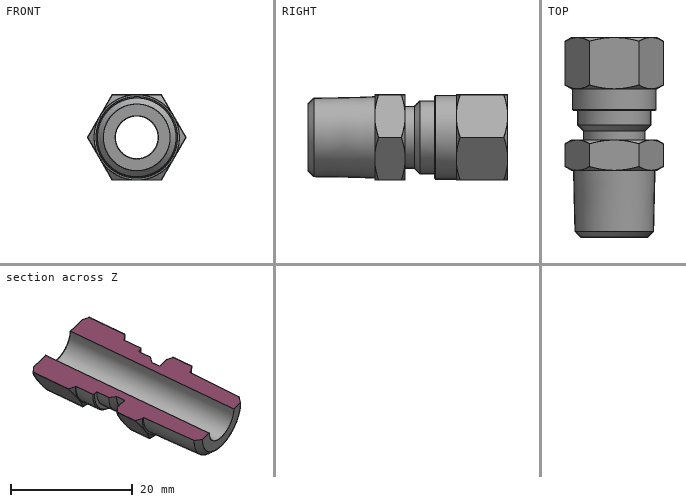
import cadquery as cq
import math

total_length = 32.82
across_flats = 14.0
bore_radius = 3.5

thread_length = 11.0
thread_tip_radius = 6.45
thread_base_radius = 6.7
tip_chamfer = 1.0

body_hex_length = 5.0
neck_radius = 5.1
neck_length = 1.5
shoulder_radius = 6.0
shoulder_length = 2.4

collar_radius = 6.9
collar_length = 3.58
collar_chamfer = 0.2
hex_chamfer_angle = 30.0

body_hex_start = thread_length
body_hex_end = body_hex_start + body_hex_length
neck_end = body_hex_end + neck_length
shoulder_start = neck_end + shoulder_radius - neck_radius
collar_start = shoulder_start + shoulder_length
nut_hex_start = collar_start + collar_length


def revolve_outline(points):
    """Revolve a closed (radius, Y) outline about the Y axis."""
    return cq.Workplane("XY").polyline(points).close().revolve(360, (0, 0, 0), (0, 1, 0))


def chamfered_hexagon(start, end):
    """Hexagonal prism with flats facing +/-Z and conically chamfered ends."""
    flat_radius = across_flats / 2
    corner_radius = flat_radius / math.cos(math.radians(30))
    drop = (corner_radius - flat_radius) * math.tan(math.radians(hex_chamfer_angle))
    prism = (
        cq.Workplane("XZ", origin=(0, start, 0))
        .polygon(6, 2 * corner_radius)
        .extrude(start - end)
    )
    envelope = revolve_outline([
        (0, start),
        (flat_radius, start),
        (corner_radius, start + drop),
        (corner_radius, end - drop),
        (flat_radius, end),
        (0, end),
    ])
    return prism.intersect(envelope)


round_body = revolve_outline([
    (0, 0),
    (thread_tip_radius - tip_chamfer, 0),
    (thread_tip_radius, tip_chamfer),
    (thread_base_radius, thread_length),
    (neck_radius, thread_length),
    (neck_radius, neck_end),
    (shoulder_radius, shoulder_start),
    (shoulder_radius, collar_start),
    (collar_radius - collar_chamfer, collar_start),
    (collar_radius, collar_start + collar_chamfer),
    (collar_radius, nut_hex_start),
    (0, nut_hex_start),
])

body_hex = chamfered_hexagon(body_hex_start, body_hex_end)
nut_hex = chamfered_hexagon(nut_hex_start, total_length)

bore = cq.Workplane("XZ").circle(bore_radius).extrude(-total_length)

result = round_body.union(body_hex).union(nut_hex).cut(bore)